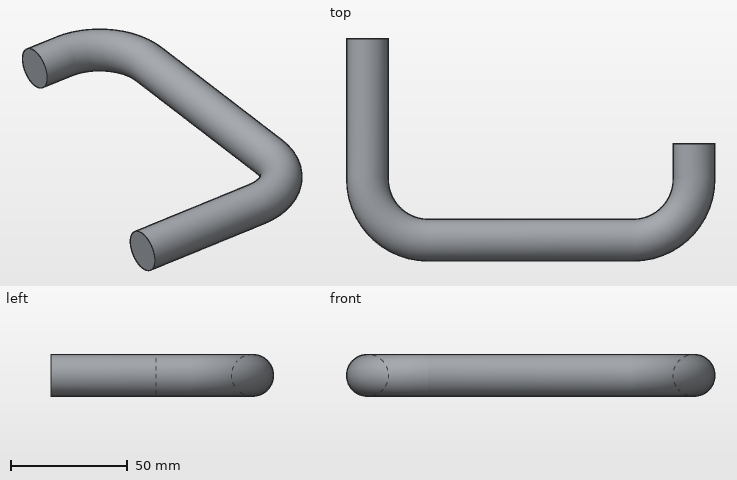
import cadquery as cq

overall_length = 158.0
long_leg_depth = 95.5
short_leg_depth = 50.4
bar_diameter = 18.0
bend_radius = 26.0

bar_radius = bar_diameter / 2
leg_x = overall_length / 2 - bar_radius
grip_end_x = leg_x - bend_radius
long_leg_end_y = long_leg_depth - bar_radius
short_leg_end_y = short_leg_depth - bar_radius

centreline = (
    cq.Workplane("XY")
    .moveTo(-leg_x, long_leg_end_y)
    .lineTo(-leg_x, bend_radius)
    .tangentArcPoint((-grip_end_x, 0), relative=False)
    .lineTo(grip_end_x, 0)
    .tangentArcPoint((leg_x, bend_radius), relative=False)
    .lineTo(leg_x, short_leg_end_y)
)

result = (
    cq.Workplane("XZ", origin=(-leg_x, long_leg_end_y, 0))
    .circle(bar_radius)
    .sweep(centreline)
)